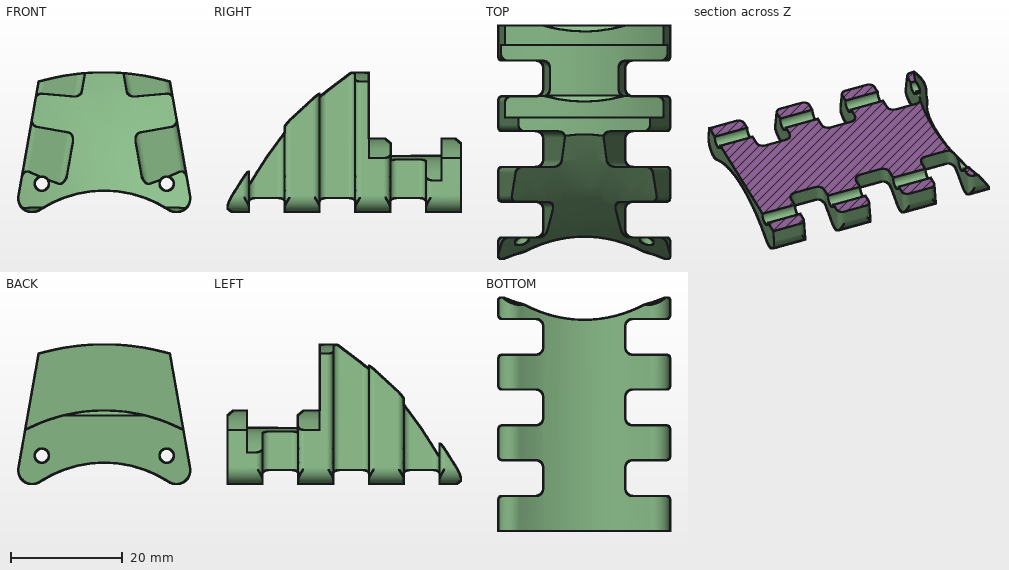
import cadquery as cq
import math

length = 41.8
height = 25.03
bore_radius = 21.0
bore_top = 3.85
axis_z = bore_top - bore_radius

side_angle = math.radians(10)
foot_radius = 2.5
foot_z = foot_radius
foot_x = math.sqrt((bore_radius + foot_radius) ** 2 - (foot_z - axis_z) ** 2)
side_x = foot_x + foot_radius * math.cos(side_angle)
side_z = foot_z + foot_radius * math.sin(side_angle)

rim_top = 13.2
seat_top = 10.1
rear_rim_width = 3.55
seat_end = 12.55
nose_start = 16.5
rim_chamfer_length = 1.1
rim_chamfer_height = 0.9

slot_count = 3
slot_start = 6.3
slot_pitch = 12.6
slot_width = 6.35
slot_depth = 7.95
slot_inner_fillet = 1.2
rib_edge_radius = 1.1

saddle_top = (-19.45, height)
saddle_middle = (-31.4, 14.0)
saddle_bottom = (-39.1, 0.88)
saddle_axis_low = (-84.4, 33.0)
saddle_axis_high = (-104.45, 114.9)
saddle_sweep = 60.0

toe_z = 0.88
toe_cone_radius = 34.68
toe_cone_y = -73.35
toe_undercut = 0.4

hole_diameter = 2.5
hole_x = 11.15
hole_z = 5.1

clearance = 8.35


def make_wedge():
    """Full-height body: bore arc below, two rounded feet, flat leaning sides, arched top."""
    top_radius = height - axis_z
    side_offset = side_x * math.cos(side_angle) + (side_z - axis_z) * math.sin(side_angle)
    corner_angle = side_angle + math.acos(side_offset / top_radius)
    corner_x = top_radius * math.cos(corner_angle)
    corner_z = axis_z + top_radius * math.sin(corner_angle)
    contact = bore_radius / (bore_radius + foot_radius)
    contact_x = foot_x * contact
    contact_z = axis_z + (foot_z - axis_z) * contact
    return (
        cq.Workplane("XZ")
        .moveTo(-contact_x, contact_z)
        .threePointArc((0, bore_top), (contact_x, contact_z))
        .threePointArc((foot_x, 0), (side_x, side_z))
        .lineTo(corner_x, corner_z)
        .threePointArc((0, height), (-corner_x, corner_z))
        .lineTo(-side_x, side_z)
        .threePointArc((-foot_x, 0), (-contact_x, contact_z))
        .close()
        .extrude(length)
    )


def outside_shell(top, start, end):
    """Everything above a shell whose crown is at z = top, from y = -start to y = -end."""
    outer_radius = height - axis_z + clearance
    return (
        cq.Workplane("XZ", origin=(0, -start, axis_z))
        .circle(outer_radius)
        .circle(top - axis_z)
        .extrude(end - start)
    )


def rim_chamfer(start):
    """Wedge that bevels the crown of a rim whose rear edge is at y = -start."""
    return (
        cq.Workplane("YZ")
        .moveTo(-start, rim_top - rim_chamfer_height)
        .lineTo(-start - rim_chamfer_length, rim_top)
        .lineTo(-start, rim_top)
        .close()
        .extrude(side_x, both=True)
    )


def side_slot(start):
    """Slot on the +X side, parallel to the leaning side, with rounded mouth and floor corners."""
    half = slot_width / 2
    mouth = half + rib_edge_radius
    floor = half - slot_inner_fillet
    diagonal = 1 - math.sqrt(0.5)
    edge_mid = rib_edge_radius * diagonal
    fillet_mid = slot_inner_fillet * diagonal
    side_plane = cq.Plane(
        origin=(side_x, -start - half, side_z),
        xDir=(math.cos(side_angle), 0, math.sin(side_angle)),
        normal=(-math.sin(side_angle), 0, math.cos(side_angle)),
    )
    return (
        cq.Workplane(side_plane)
        .moveTo(clearance, -mouth)
        .lineTo(0, -mouth)
        .threePointArc((-edge_mid, -half - edge_mid), (-rib_edge_radius, -half))
        .lineTo(slot_inner_fillet - slot_depth, -half)
        .threePointArc((fillet_mid - slot_depth, fillet_mid - half), (-slot_depth, -floor))
        .lineTo(-slot_depth, floor)
        .threePointArc((fillet_mid - slot_depth, half - fillet_mid), (slot_inner_fillet - slot_depth, half))
        .lineTo(-rib_edge_radius, half)
        .threePointArc((-edge_mid, half + edge_mid), (0, mouth))
        .lineTo(clearance, mouth)
        .close()
        .extrude(height, both=True)
    )


def nose_cutter():
    """Solid in front of the nose: an arc continued by tangents, revolved into a saddle."""
    arc = cq.Edge.makeThreePointArc(
        cq.Vector(0, *saddle_top), cq.Vector(0, *saddle_middle), cq.Vector(0, *saddle_bottom)
    )
    above = arc.startPoint() - arc.tangentAt(0) * clearance
    below = arc.endPoint() + arc.tangentAt(1) * clearance
    profile = (
        cq.Workplane("YZ")
        .moveTo(above.y, above.z)
        .lineTo(*saddle_top)
        .threePointArc(saddle_middle, saddle_bottom)
        .lineTo(below.y, below.z)
        .lineTo(below.y - length / 2, below.z)
        .lineTo(below.y - length / 2, above.z)
        .close()
    )
    cutter = profile.revolve(saddle_sweep, saddle_axis_low, saddle_axis_high)
    return cutter.rotate((0, *saddle_axis_low), (0, *saddle_axis_high), -saddle_sweep / 2)


def toe_cutter():
    """Cone frustum that tucks the front of both toes back toward the base."""
    return (
        cq.Workplane("XY", origin=(0, toe_cone_y, 0))
        .circle(toe_cone_radius + toe_undercut)
        .workplane(offset=toe_z)
        .circle(toe_cone_radius)
        .loft()
    )


body = make_wedge()
body = body.cut(outside_shell(rim_top, 0, nose_start))
body = body.cut(outside_shell(seat_top, rear_rim_width, seat_end))
for rim_start in (0, seat_end):
    body = body.cut(rim_chamfer(rim_start))

body = body.cut(nose_cutter())
body = body.cut(toe_cutter())

for slot_index in range(slot_count):
    slot = side_slot(slot_start + slot_index * slot_pitch)
    body = body.cut(slot).cut(slot.mirror("YZ"))

holes = (
    cq.Workplane("XZ")
    .pushPoints([(-hole_x, hole_z), (hole_x, hole_z)])
    .circle(hole_diameter / 2)
    .extrude(length)
)
result = body.cut(holes)